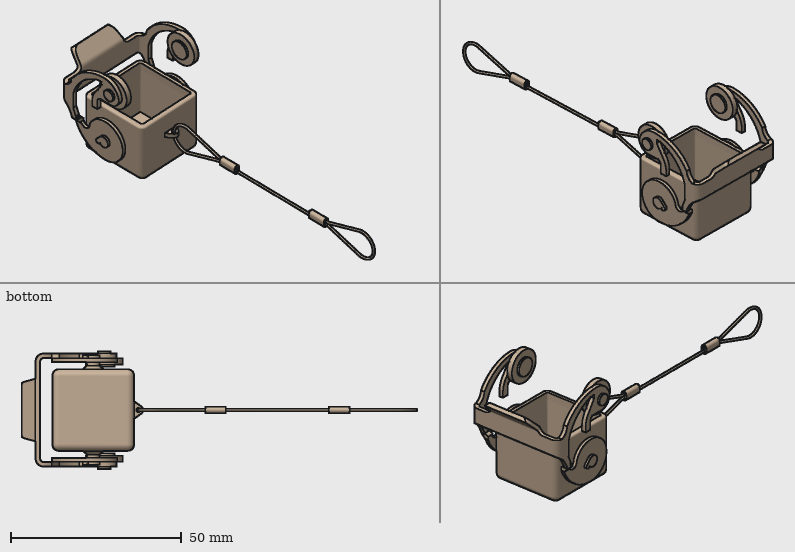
import cadquery as cq
import math

OVERALL_LENGTH = 116.0

BOX_SIDE = 24.0
BOX_HEIGHT = 20.0
BOX_ROUNDING = 2.0
RIM_ROUNDING = 0.7
WALL = 1.6
FLOOR = 2.2
CAVITY_CORNER = 0.6
CAVITY_TAPER_TOP = 17.4
CAVITY_DRAFT = 2.0

SHEET = 1.4
BAIL_HALF_WIDTH = 16.6
ARM_INSIDE = BAIL_HALF_WIDTH - SHEET
CAM_OUTSIDE = ARM_INSIDE
CAM_THICKNESS = 1.2
CAM_INSIDE = CAM_OUTSIDE - CAM_THICKNESS
BACK_X = -16.9
BEND_RADIUS = 2.4
BAIL_FRONT_X = 7.2
STRAP_TOP = 24.8
STRAP_BOTTOM = 19.5
ARM_BOTTOM = 13.7
ARM_LEFT_END = -12.2
ARM_RIGHT_END = -10.0

PIVOT_Z = 10.9
CAM_RADIUS = 7.1
CAM_TOE_X = -12.0
CAM_TOE_Z = 11.8
CAM_TOP = 13.3

JOGGLE_TOP = 14.2
JOGGLE_BOTTOM = 12.2

PIVOT_RADIUS = 1.9
PIVOT_BASE_RADIUS = 3.0
PIVOT_CONE_LENGTH = 1.0
PIVOT_END = 16.0
LOBE_X = -2.2
LOBE_Z = 10.1
LOBE_RADIUS = 0.8

ROLLER_X = 3.2
ROLLER_Z = 30.6
ROLLER_RADIUS = 5.5
ROLLER_INSIDE = 13.3
RIVET_HEAD_RADIUS = 3.0
RIVET_HEAD_INSIDE = 12.6
RIVET_RADIUS = 1.9
RIVET_END = 17.3

TAB_TIP_X = -21.0
TAB_BEND_Z = 25.9
TAB_BEND_RADIUS = 0.9
TAB_TIP_HALF = 6.1
TAB_BASE_HALF = 10.9

WIRE_RADIUS = 0.41
WIRE_OFFSET = 0.52
LANYARD_Z = 12.8
LOOP_X = 18.0
LOOP_RADIUS = 4.6
LOOP_NECK_X = 31.8
LANYARD_START_X = LOOP_X - LOOP_RADIUS - WIRE_RADIUS
LANYARD_END_X = TAB_TIP_X + OVERALL_LENGTH
LANYARD_MIDDLE_X = (LANYARD_START_X + LANYARD_END_X) / 2
WIRE_END_X = 39.4
FERRULE_START = 32.8
FERRULE_END = 38.9
FERRULE_WIDTH = 2.0
FERRULE_HEIGHT = FERRULE_WIDTH + 2 * WIRE_OFFSET

EYELET_BASE_HALF = 2.5
EYELET_TIP_RADIUS = 1.4
EYELET_Z = 12.4
EYELET_THICKNESS = 1.5
EYELET_HOLE_X = 13.2
EYELET_HOLE_RADIUS = 0.6


def across(outline, y_from, y_to):
    """Extrude an XZ outline from y_from to y_to."""
    return outline.extrude(-(y_to - y_from)).translate((0, y_from, 0))


def disc(x, z, radius, y_from, y_to):
    return across(cq.Workplane("XZ").center(x, z).circle(radius), y_from, y_to)


def make_box():
    body = cq.Workplane("XY").rect(BOX_SIDE, BOX_SIDE).extrude(BOX_HEIGHT)
    body = body.edges("|Z").fillet(BOX_ROUNDING)
    body = body.faces("<Z").edges().fillet(BOX_ROUNDING)
    body = body.faces(">Z").edges().fillet(RIM_ROUNDING)
    opening = BOX_SIDE - 2 * WALL
    mouth = (
        cq.Workplane("XY").workplane(offset=CAVITY_TAPER_TOP)
        .rect(opening, opening)
        .extrude(BOX_HEIGHT - CAVITY_TAPER_TOP)
        .edges("|Z").fillet(CAVITY_CORNER)
    )
    pocket = (
        mouth.faces("<Z").wires().toPending()
        .workplane()
        .extrude(CAVITY_TAPER_TOP - FLOOR, combine=False, taper=CAVITY_DRAFT)
    )
    return body.cut(mouth).cut(pocket)


def make_eyelet():
    """Lug on the box wall, tapering to a round tip around an upright hole."""
    wall_x = BOX_SIDE / 2
    root_x = wall_x - WALL / 2
    reach = EYELET_HOLE_X - wall_x
    tangent_angle = math.pi - math.atan2(EYELET_BASE_HALF, reach) - math.acos(
        EYELET_TIP_RADIUS / math.hypot(reach, EYELET_BASE_HALF)
    )
    tangent_x = EYELET_HOLE_X + EYELET_TIP_RADIUS * math.cos(tangent_angle)
    tangent_y = EYELET_TIP_RADIUS * math.sin(tangent_angle)
    lug = (
        cq.Workplane("XY").workplane(offset=EYELET_Z - EYELET_THICKNESS / 2)
        .moveTo(root_x, -EYELET_BASE_HALF)
        .lineTo(wall_x, -EYELET_BASE_HALF)
        .lineTo(tangent_x, -tangent_y)
        .threePointArc((EYELET_HOLE_X + EYELET_TIP_RADIUS, 0), (tangent_x, tangent_y))
        .lineTo(wall_x, EYELET_BASE_HALF)
        .lineTo(root_x, EYELET_BASE_HALF)
        .close()
        .extrude(EYELET_THICKNESS)
    )
    hole = (
        cq.Workplane("XY").center(EYELET_HOLE_X, 0)
        .circle(EYELET_HOLE_RADIUS).extrude(BOX_HEIGHT)
    )
    return lug.cut(hole)


def make_strap_and_arms():
    """Side outline of the arms, cut out of a sheet bent to a U in plan."""
    length = BAIL_FRONT_X - BACK_X
    middle_x = (BAIL_FRONT_X + BACK_X) / 2
    height = ROLLER_Z + ROLLER_RADIUS
    outer = (
        cq.Workplane("XY").center(middle_x, 0)
        .rect(length, 2 * BAIL_HALF_WIDTH).extrude(height)
        .edges("|Z and <X").fillet(BEND_RADIUS)
    )
    inner = (
        cq.Workplane("XY").center(middle_x + SHEET, 0)
        .rect(length, 2 * ARM_INSIDE).extrude(height)
        .edges("|Z and <X").fillet(BEND_RADIUS - SHEET)
    )
    outline = (
        cq.Workplane("XZ")
        .moveTo(BACK_X, STRAP_BOTTOM)
        .lineTo(BACK_X, STRAP_TOP)
        .lineTo(-14.7, STRAP_TOP)
        .threePointArc((-13.3, 25.9), (-12.4, 28.2))
        .threePointArc((-7.0, 33.4), (0.9, 35.6))
        .threePointArc((5.1, 33.9), (6.8, 30.4))
        .threePointArc((5.8, 28.0), (3.2, 26.9))
        .lineTo(-0.5, 26.9)
        .threePointArc((-1.4, 26.6), (-1.9, 25.6))
        .lineTo(-1.9, 22.5)
        .lineTo(-4.1, 22.5)
        .lineTo(-4.1, 24.8)
        .threePointArc((-3.4, 27.4), (-2.2, 29.2))
        .lineTo(-0.2, 32.4)
        .lineTo(-0.2, 33.5)
        .lineTo(-1.9, 33.4)
        .threePointArc((-8.4, 29.2), (-11.7, 23.0))
        .lineTo(-11.7, 17.6)
        .lineTo(-10.7, 15.0)
        .lineTo(-10.7, ARM_BOTTOM)
        .lineTo(ARM_LEFT_END, ARM_BOTTOM)
        .threePointArc((-13.1, 15.9), (-14.5, 17.9))
        .close()
    )
    cutter = across(outline, -BAIL_HALF_WIDTH, BAIL_HALF_WIDTH)
    return outer.cut(inner).intersect(cutter)


def make_tab():
    lean = BACK_X - TAB_TIP_X
    tip_z = TAB_BEND_Z + lean
    tip_step = SHEET * math.sqrt(0.5)
    front_x = BACK_X + SHEET
    front_bend_z = TAB_BEND_Z + SHEET * math.tan(math.pi / 8)
    top_z = tip_z + tip_step
    profile = (
        cq.Workplane("XZ")
        .moveTo(BACK_X, STRAP_TOP - SHEET)
        .lineTo(BACK_X, TAB_BEND_Z)
        .lineTo(TAB_TIP_X, tip_z)
        .lineTo(TAB_TIP_X + tip_step, top_z)
        .lineTo(front_x, front_bend_z)
        .lineTo(front_x, STRAP_TOP - SHEET)
        .close()
    )
    bent = across(profile, -BAIL_HALF_WIDTH, BAIL_HALF_WIDTH)
    bend_lines = (
        (BACK_X, TAB_BEND_Z, TAB_BEND_RADIUS),
        (front_x, front_bend_z, TAB_BEND_RADIUS + SHEET),
    )
    for x, z, radius in bend_lines:
        bend_line = cq.selectors.NearestToPointSelector((x, 0, z))
        bent = bent.edges(bend_line).fillet(radius)
    outline = (
        cq.Workplane("YZ").workplane(offset=TAB_TIP_X)
        .moveTo(-TAB_BASE_HALF, STRAP_TOP - SHEET)
        .lineTo(-TAB_BASE_HALF, STRAP_TOP)
        .threePointArc((-9.7, 25.3), (-9.2, 26.0))
        .lineTo(-8.4, 29.0)
        .threePointArc((-7.7, 30.2), (-TAB_TIP_HALF, top_z))
        .lineTo(TAB_TIP_HALF, top_z)
        .threePointArc((7.7, 30.2), (8.4, 29.0))
        .lineTo(9.2, 26.0)
        .threePointArc((9.7, 25.3), (TAB_BASE_HALF, STRAP_TOP))
        .lineTo(TAB_BASE_HALF, STRAP_TOP - SHEET)
        .close()
        .extrude(front_x - TAB_TIP_X)
    )
    return bent.intersect(outline)


def make_cam():
    """Cam plate with its long lower edge running out to a toe."""
    bottom_z = PIVOT_Z - CAM_RADIUS
    toe_rise = CAM_TOE_Z - bottom_z
    edge_radius = (CAM_TOE_X ** 2 + toe_rise ** 2) / (2 * toe_rise)
    half_angle = math.asin(-CAM_TOE_X / edge_radius) / 2
    edge_middle = (
        -edge_radius * math.sin(half_angle),
        bottom_z + edge_radius * (1 - math.cos(half_angle)),
    )
    shoulder_angle = math.radians(120)
    shoulder = (
        CAM_RADIUS * math.cos(shoulder_angle),
        PIVOT_Z + CAM_RADIUS * math.sin(shoulder_angle),
    )
    outline = (
        cq.Workplane("XZ")
        .moveTo(ARM_LEFT_END, CAM_TOP)
        .lineTo(CAM_TOE_X, CAM_TOE_Z)
        .threePointArc(edge_middle, (0, bottom_z))
        .threePointArc((CAM_RADIUS, PIVOT_Z), shoulder)
        .threePointArc((-5.5, 15.3), (-6.5, 13.1))
        .threePointArc((-7.8, 11.5), (-9.3, 11.8))
        .lineTo(ARM_RIGHT_END, 12.5)
        .lineTo(ARM_RIGHT_END, CAM_TOP)
        .close()
    )
    return across(outline, CAM_INSIDE, CAM_OUTSIDE)


def make_joggle():
    """Slanted step that carries the arm sheet inwards to the cam."""
    return (
        cq.Workplane("YZ").workplane(offset=ARM_LEFT_END)
        .moveTo(BAIL_HALF_WIDTH, JOGGLE_TOP)
        .lineTo(BAIL_HALF_WIDTH, ARM_BOTTOM)
        .lineTo(CAM_OUTSIDE, JOGGLE_BOTTOM)
        .lineTo(CAM_INSIDE, JOGGLE_BOTTOM)
        .lineTo(CAM_INSIDE, CAM_TOP)
        .lineTo(ARM_INSIDE, JOGGLE_TOP)
        .close()
        .extrude(ARM_RIGHT_END - ARM_LEFT_END)
    )


def make_pivot():
    """Stud on the box wall, flared at its base, with a lobed outer end."""
    wall_y = BOX_SIDE / 2
    cone_end = wall_y + PIVOT_CONE_LENGTH
    stud = (
        cq.Workplane("XY")
        .moveTo(0, wall_y - WALL / 2)
        .lineTo(PIVOT_BASE_RADIUS, wall_y - WALL / 2)
        .lineTo(PIVOT_BASE_RADIUS, wall_y)
        .lineTo(PIVOT_RADIUS, cone_end)
        .lineTo(PIVOT_RADIUS, PIVOT_END)
        .lineTo(0, PIVOT_END)
        .close()
        .revolve(360, (0, 0, 0), (0, 1, 0))
        .translate((0, 0, PIVOT_Z))
    )
    lobe = disc(LOBE_X, LOBE_Z, LOBE_RADIUS, CAM_INSIDE, PIVOT_END)
    rise = math.atan2(PIVOT_Z - LOBE_Z, -LOBE_X)
    spacing = math.hypot(LOBE_X, PIVOT_Z - LOBE_Z)
    flank = rise + math.acos((LOBE_RADIUS - PIVOT_RADIUS) / spacing)
    cos_flank = math.cos(flank)
    sin_flank = math.sin(flank)
    web = (
        cq.Workplane("XZ")
        .moveTo(LOBE_X, LOBE_Z)
        .lineTo(LOBE_X + LOBE_RADIUS * cos_flank, LOBE_Z + LOBE_RADIUS * sin_flank)
        .lineTo(PIVOT_RADIUS * cos_flank, PIVOT_Z + PIVOT_RADIUS * sin_flank)
        .lineTo(0, PIVOT_Z)
        .close()
    )
    return stud.union(lobe).union(across(web, CAM_INSIDE, PIVOT_END))


def make_roller():
    roller = disc(ROLLER_X, ROLLER_Z, ROLLER_RADIUS, ROLLER_INSIDE, ARM_INSIDE)
    head = disc(ROLLER_X, ROLLER_Z, RIVET_HEAD_RADIUS, RIVET_HEAD_INSIDE, ROLLER_INSIDE)
    rivet = disc(ROLLER_X, ROLLER_Z, RIVET_RADIUS, ROLLER_INSIDE, RIVET_END)
    return roller.union(head).union(rivet)


def make_lanyard_half():
    """Loop, ferrule and half of the wire, up to the middle of the lanyard."""
    neck = LOOP_NECK_X - LOOP_X
    tangent_angle = math.atan2(WIRE_OFFSET, neck) + math.acos(
        LOOP_RADIUS / math.hypot(neck, WIRE_OFFSET)
    )
    tangent_x = LOOP_X + LOOP_RADIUS * math.cos(tangent_angle)
    tangent_rise = LOOP_RADIUS * math.sin(tangent_angle)
    upper_z = LANYARD_Z + WIRE_OFFSET
    lower_z = LANYARD_Z - WIRE_OFFSET
    path = (
        cq.Workplane("XZ")
        .moveTo(WIRE_END_X, upper_z)
        .lineTo(LOOP_NECK_X, upper_z)
        .lineTo(tangent_x, LANYARD_Z + tangent_rise)
        .threePointArc(
            (LOOP_X - LOOP_RADIUS, LANYARD_Z), (tangent_x, LANYARD_Z - tangent_rise)
        )
        .lineTo(LOOP_NECK_X, lower_z)
        .lineTo(LANYARD_MIDDLE_X, lower_z)
    )
    wire = (
        cq.Workplane("YZ", origin=(WIRE_END_X, 0, upper_z))
        .circle(WIRE_RADIUS)
        .sweep(path, transition="round")
    )
    ferrule = (
        cq.Workplane("YZ", origin=(FERRULE_START, 0, LANYARD_Z))
        .slot2D(FERRULE_HEIGHT, FERRULE_WIDTH, 90)
        .extrude(FERRULE_END - FERRULE_START)
    )
    return wire.union(ferrule)


result = make_box().union(make_eyelet())
result = result.union(make_strap_and_arms()).union(make_tab())

for side_part in (make_cam(), make_joggle(), make_pivot(), make_roller()):
    result = result.union(side_part).union(side_part.mirror("XZ"))

lanyard_half = make_lanyard_half()
other_half = lanyard_half.mirror("YZ", (LANYARD_MIDDLE_X, 0, 0))
result = result.union(lanyard_half).union(other_half)